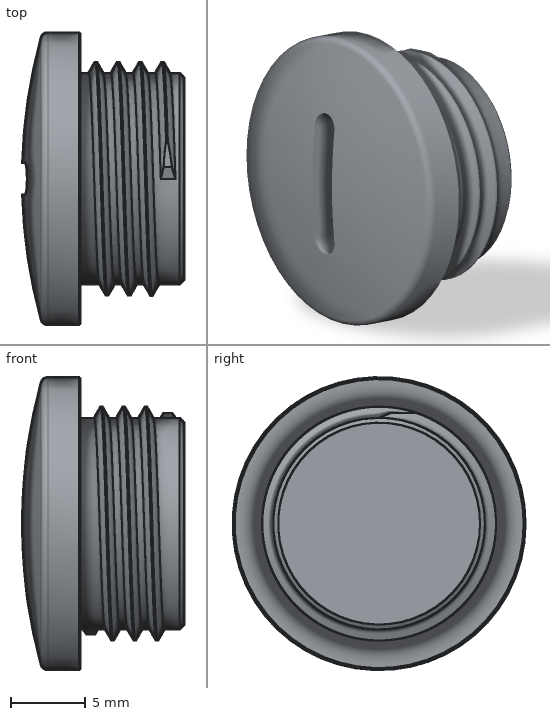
import cadquery as cq
import math


head_radius = 19.78 / 2
dome_radius = 36.0
dome_edge_fillet = 0.5
underside_chamfer = 0.13

slot_length = 9.77
slot_width = 2.1
slot_floor_x = -2.08

overall_length = 10.96

shank_radius = 14.29 / 2
shank_length = 7.0
shank_chamfer = 0.33

thread_pitch = 1.5
thread_turns = 3.5
thread_start_x = 0.65
thread_start_angle = -90.0
crest_radius = 7.9
crest_width = 0.12
flank_half_angle = math.radians(30)
root_overlap = 0.1

runout_flat_z = 7.48
runout_ramp_length = 0.8

dome_offset_at_slot = dome_radius - math.sqrt(dome_radius**2 - (slot_width / 2) ** 2)
head_height = overall_length - shank_length + dome_offset_at_slot
apex_x = -head_height


def make_body():
    """Head and shank as one revolved profile, in (X, radius) coordinates."""
    dome_center_x = apex_x + dome_radius
    fillet_center_r = head_radius - dome_edge_fillet
    center_distance = dome_radius - dome_edge_fillet
    tilt = math.asin(fillet_center_r / center_distance)
    fillet_center_x = dome_center_x - center_distance * math.cos(tilt)

    def on_dome(angle):
        return (dome_center_x - dome_radius * math.cos(angle), dome_radius * math.sin(angle))

    fillet_mid_angle = (tilt + math.pi / 2) / 2
    fillet_mid = (
        fillet_center_x - dome_edge_fillet * math.cos(fillet_mid_angle),
        fillet_center_r + dome_edge_fillet * math.sin(fillet_mid_angle),
    )
    return (
        cq.Workplane("XY")
        .moveTo(apex_x, 0)
        .threePointArc(on_dome(tilt / 2), on_dome(tilt))
        .threePointArc(fillet_mid, (fillet_center_x, head_radius))
        .lineTo(-underside_chamfer, head_radius)
        .lineTo(0, head_radius - underside_chamfer)
        .lineTo(0, shank_radius)
        .lineTo(shank_length - shank_chamfer, shank_radius)
        .lineTo(shank_length, shank_radius - shank_chamfer)
        .lineTo(shank_length, 0)
        .close()
        .revolve(360, (0, 0, 0), (1, 0, 0))
    )


def make_slot():
    """Round-ended slot running from in front of the dome to its flat floor."""
    return (
        cq.Workplane("YZ", origin=(slot_floor_x, 0, 0))
        .slot2D(slot_length, slot_width, 90)
        .extrude(-head_height)
    )


def make_runout_cutter(end_x):
    """Prism that tapers the ridge down to the shank at a thread end lying at Y = 0, +Z.

    It spans one pitch along X, so it reaches only the turn that ends at end_x.
    """
    flat_length = math.sqrt(crest_radius**2 - runout_flat_z**2)
    clearance_z = crest_radius + thread_pitch
    return (
        cq.Workplane("YZ", origin=(end_x - thread_pitch / 2, 0, 0))
        .moveTo(0, shank_radius)
        .lineTo(runout_ramp_length, runout_flat_z)
        .lineTo(flat_length, runout_flat_z)
        .lineTo(flat_length, clearance_z)
        .lineTo(-thread_pitch, clearance_z)
        .lineTo(-thread_pitch, shank_radius)
        .close()
        .extrude(thread_pitch)
    )


def make_thread():
    """Helical ridge, built along Z and then laid along X with both ends tapered."""
    base_radius = shank_radius - root_overlap
    crest_half = crest_width / 2
    base_half = crest_half + (crest_radius - base_radius) * math.tan(flank_half_angle)
    helix = cq.Wire.makeHelix(thread_pitch, thread_pitch * thread_turns, shank_radius)
    ridge = (
        cq.Workplane("XZ")
        .polyline(
            [
                (base_radius, -base_half),
                (crest_radius, -crest_half),
                (crest_radius, crest_half),
                (base_radius, base_half),
            ]
        )
        .close()
        .sweep(cq.Workplane(obj=helix), isFrenet=True)
        .rotate((0, 0, 0), (0, 0, 1), thread_start_angle)
        .translate((0, 0, thread_start_x))
    )
    ridge = cq.Workplane(obj=ridge.val().moved(cq.Location(cq.Plane.YZ())))
    start_cutter = make_runout_cutter(thread_start_x).mirror("XY")
    end_cutter = make_runout_cutter(thread_start_x + thread_pitch * thread_turns)
    return ridge.cut(start_cutter).cut(end_cutter)


result = make_body().cut(make_slot()).union(make_thread())